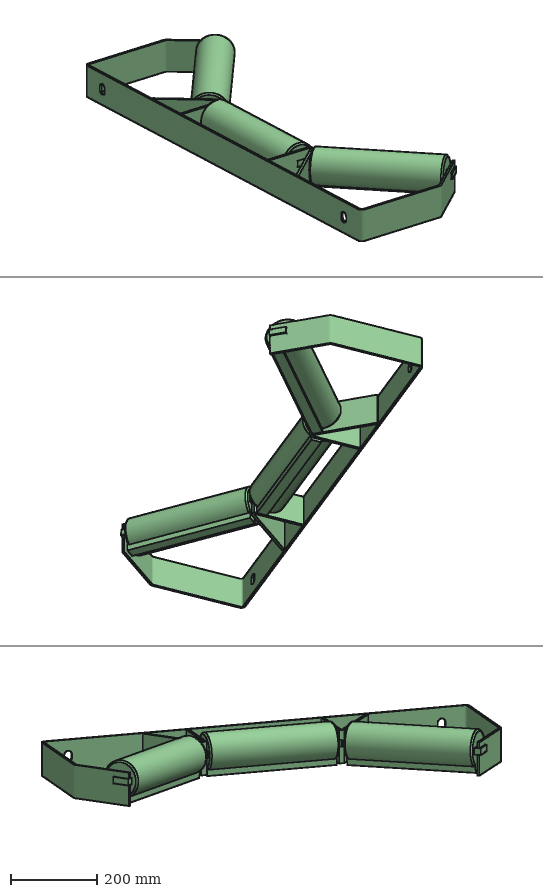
import cadquery as cq
import math

frame_length = 1050.0
strip_height = 80.0
strip_thickness = 5.0
corner_radius = 10.0
bend_radius = 15.0
wall_height = 234.0
arm_length = 147.0

hole_offset = 459.0
hole_width = 19.0
hole_height = 26.0

trough_angle = 40.0
roller_radius = 45.0
roller_length = 318.0
roller_chamfer = 4.0
rib_width = 25.0
rib_depth = 52.0
shaft_radius = 10.0
middle_axis_y = 100.0
middle_axis_z = 48.0
wing_center_x = 318.0
wing_center_y = 214.0
wing_center_z = 52.0
wing_rise_angle = 1.7

tongue_thickness = 16.0
tongue_reach = 29.0
bracket_tongue_length = 9.0
arm_tongue_length = 16.0

bracket_thickness = 6.0
bracket_inner_x = 163.0
bracket_top_y = 130.0
bracket_foot_x = 277.0

half_length = frame_length / 2
lean = math.radians(trough_angle)


def make_frame():
    """Bent strip with obround holes: one half is drawn on the +X side and mirrored."""
    arm_tip_x = half_length - arm_length * math.sin(lean)
    arm_tip_y = wall_height + arm_length * math.cos(lean)
    inset_x = strip_thickness * math.cos(lean)
    inset_y = strip_thickness * math.sin(lean)
    inner_x = half_length - strip_thickness
    inner_wall_height = wall_height - strip_thickness * math.tan(lean / 2)
    half_outline = [
        (0, 0),
        (half_length, 0),
        (half_length, wall_height),
        (arm_tip_x, arm_tip_y),
        (arm_tip_x - inset_x, arm_tip_y - inset_y),
        (inner_x, inner_wall_height),
        (inner_x, strip_thickness),
        (0, strip_thickness),
    ]
    half = cq.Workplane("XY").polyline(half_outline).close().extrude(strip_height)
    bends = [
        (half_length, 0, corner_radius),
        (inner_x, strip_thickness, corner_radius - strip_thickness),
        (half_length, wall_height, bend_radius),
        (inner_x, inner_wall_height, bend_radius - strip_thickness),
    ]
    for x, y, radius in bends:
        corner = cq.selectors.NearestToPointSelector((x, y, strip_height / 2))
        half = half.edges("|Z").edges(corner).fillet(radius)
    hole = (
        cq.Workplane("XZ", origin=(hole_offset, 0, strip_height / 2))
        .slot2D(hole_height, hole_width, 90)
        .extrude(-strip_thickness)
    )
    half = half.cut(hole)
    return half.union(half.mirror("YZ"))


def make_bracket():
    """Bracket on the +X side: an upright leg, a short flat top and a leaning leg."""
    outer_x = bracket_inner_x + bracket_thickness
    lean_x = bracket_thickness * math.cos(lean)
    lean_y = bracket_thickness * math.sin(lean)
    foot_y = strip_thickness + lean_y
    shoulder_x = bracket_foot_x - (bracket_top_y - foot_y) * math.tan(lean)
    bend_shift = bracket_thickness * math.tan(math.radians(90 - trough_angle) / 2)
    under_top_y = bracket_top_y - bracket_thickness
    outline = [
        (bracket_inner_x, strip_thickness),
        (bracket_inner_x, bracket_top_y),
        (shoulder_x, bracket_top_y),
        (bracket_foot_x, foot_y),
        (bracket_foot_x - lean_x, strip_thickness),
        (shoulder_x - bend_shift, under_top_y),
        (outer_x, under_top_y),
        (outer_x, strip_thickness),
    ]
    return cq.Workplane("XY").polyline(outline).close().extrude(strip_height)


def make_roller():
    """Roller along X, centred on the origin, with a low rib along its underside, bored for its shaft."""
    end_plane = cq.Workplane("YZ", origin=(-roller_length / 2, 0, 0))
    roller = end_plane.circle(roller_radius).extrude(roller_length)
    roller = roller.faces("<X or >X").chamfer(roller_chamfer)
    rib = end_plane.center(rib_width / 2, -rib_depth / 2).rect(rib_width, rib_depth).extrude(roller_length)
    bore = end_plane.circle(shaft_radius).extrude(roller_length)
    return roller.union(rib).cut(bore)


def make_shaft(outer_tongue_length):
    """Shaft along X, centred on the origin, with a flat tongue towards +Y at each end."""
    shaft = cq.Workplane("YZ").circle(shaft_radius).extrude(roller_length / 2, both=True)
    for side, length in ((1, outer_tongue_length), (-1, bracket_tongue_length)):
        tongue = (
            cq.Workplane("YZ", origin=(side * roller_length / 2, 0, 0))
            .center((tongue_reach - shaft_radius) / 2, 0)
            .rect(tongue_reach + shaft_radius, tongue_thickness)
            .extrude(side * length)
        )
        shaft = shaft.union(tongue)
    return shaft


def place_middle(body):
    return body.translate((0, middle_axis_y, middle_axis_z))


def place_wing(body):
    """Right-hand wing position, rising outwards."""
    return (
        body.rotate((0, 0, 0), (0, 1, 0), -wing_rise_angle)
        .rotate((0, 0, 0), (0, 0, 1), trough_angle)
        .translate((wing_center_x, wing_center_y, wing_center_z))
    )


def at_stations(middle_body, wing_body):
    """One body in the middle and a mirrored pair in the wings."""
    wing = place_wing(wing_body)
    return [place_middle(middle_body), wing, wing.mirror("YZ")]


roller = make_roller()
rollers = at_stations(roller, roller)
shafts = at_stations(make_shaft(bracket_tongue_length), make_shaft(arm_tongue_length))

frame = make_frame()
right_bracket = make_bracket()
brackets = [right_bracket, right_bracket.mirror("YZ")]
for shaft in shafts:
    frame = frame.cut(shaft)
    brackets = [bracket.cut(shaft) for bracket in brackets]

result = cq.Compound.makeCompound(
    [frame.val()] + [body.val() for body in brackets + rollers + shafts]
)